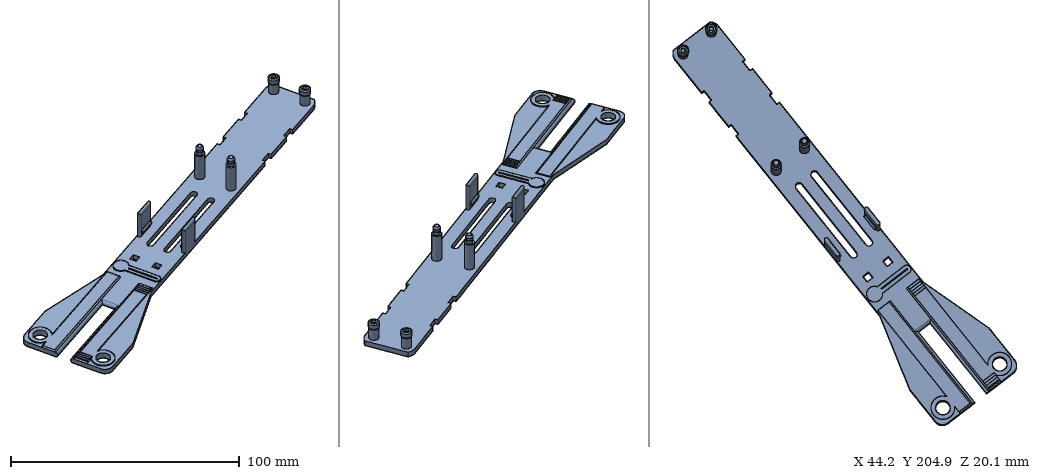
import cadquery as cq

LENGTH = 204.87
STRIP_WIDTH = 24.13
FORK_WIDTH = 44.2
PLATE_THICKNESS = 2.54
RAISE = 0.51
OVERLAP = 0.4
PLATE_TOP = PLATE_THICKNESS
PAD_TOP = PLATE_TOP + RAISE
ROOT_Z = PLATE_TOP - OVERLAP
HALF_STRIP = STRIP_WIDTH / 2
HALF_FORK = FORK_WIDTH / 2

REAR_CORNER_LENGTH = 4.1
REAR_CORNER_INSET = 1.75
REAR_CORNER_BULGE = 0.5

TAPER_START_Y = 22.0
TAPER_END_Y = 56.1
FRONT_CORNER_RADIUS = 4.0
FORK_GAP_WIDTH = 6.4
FORK_GAP_DEPTH = 39.9
NOSE_RADIUS = PLATE_THICKNESS / 2
NOSE_X = FORK_GAP_WIDTH / 2 + NOSE_RADIUS
NOSE_Y = FORK_GAP_DEPTH + NOSE_RADIUS

RAIL_LENGTH = 58.3
RAIL_OUTER_X = 11.4
RAIL_BEVEL = 0.75
MOUNT_X = 15.8
MOUNT_Y = 6.6
MOUNT_HOLE_DIAMETER = 6.35
MOUNT_BOSS_DIAMETER = 10.4
GRIP_GROOVE_WIDTH = 1.23
GRIP_GROOVE_DEPTH = 0.25
GRIP_GROOVE_COUNT = 2
GRIP_PITCH = 2 * GRIP_GROOVE_WIDTH

KEYHOLE_X = -8.05
KEYHOLE_Y = 64.9
KEYHOLE_DIAMETER = 7.0
KEYHOLE_ARM_WIDTH = 3.7
KEYHOLE_ARM_END_X = 11.6
KEYHOLE_CORNER_RADIUS = 1.6
KEYHOLE_GROOVE_START_X = -4.2
KEYHOLE_GROOVE_END_X = 10.2
KEYHOLE_GROOVE_WIDTH = 0.4
KEYHOLE_GROOVE_DEPTH = 0.25

WINDOW_SIZE = 3.1
WINDOW_X = 5.55
WINDOW_Y = 72.8
SLOT_X = 4.3
SLOT_WIDTH = 3.2
SLOT_START_Y = 83.0
SLOT_END_Y = 124.8
NOTCH_DEPTH = 1.4
NOTCH_LENGTH = 5.3
NOTCH_YS = (160.6, 179.7)

TAB_Y = 90.95
TAB_WIDTH = 9.9
TAB_THICKNESS = 1.85
TAB_TOP = 15.7
TAB_RIDGE_Z = 4.9
TAB_RIDGE_RADIUS = 0.9
TAB_RIDGE_LENGTH = 7.6

PIN_X = 7.85
PIN_Y = 134.9
PIN_DIAMETER = 4.45
PIN_NECK_DIAMETER = 2.92
PIN_HEAD_DIAMETER = 3.4
PIN_TIP_DIAMETER = 2.2
PIN_SHOULDER_Z = 15.8
PIN_HEAD_Z = 17.6
PIN_HEAD_SHOULDER_Z = 19.0
PIN_TOP = 20.07

POST_Y = 200.9
POST_DIAMETER = 4.45
POST_COLLAR_DIAMETER = 5.0
POST_COLLAR_Z = 8.0
POST_COLLAR_FULL_Z = 8.6
POST_RIM_Z = 10.6
POST_RIM_DIAMETER = 3.6
POST_TOP = 11.1
POST_BORE_DIAMETER = 2.0
POST_BORE_DEPTH = 2.0


def box_between(x0, x1, y0, y1, z0, z1):
    """Axis-aligned box given by its limits."""
    return cq.Workplane("XY").box(x1 - x0, y1 - y0, z1 - z0, centered=False).translate((x0, y0, z0))


def disc(x, y, diameter, z0, z1):
    """Vertical cylinder between two heights."""
    return cq.Workplane("XY", origin=(x, y, z0)).circle(diameter / 2).extrude(z1 - z0)


def turned(x, y, profile):
    """Vertical turned body from (radius, height) points along its outer side."""
    bottom = profile[0][1]
    top = profile[-1][1]
    outline = [(0, bottom)] + profile + [(0, top)]
    body = cq.Workplane("XZ").polyline(outline).close().revolve(360, (0, 0), (0, 1))
    return body.translate((x, y, 0))


def make_plate():
    """Flat plate: narrow strip with arc-cut rear corners, flaring to the fork."""
    corner_y = LENGTH - REAR_CORNER_LENGTH
    rear_x = HALF_STRIP - REAR_CORNER_INSET
    plate = (
        cq.Workplane("XY")
        .moveTo(-HALF_FORK, 0)
        .lineTo(HALF_FORK, 0)
        .lineTo(HALF_FORK, TAPER_START_Y)
        .lineTo(HALF_STRIP, TAPER_END_Y)
        .lineTo(HALF_STRIP, corner_y)
        .sagittaArc((rear_x, LENGTH), -REAR_CORNER_BULGE)
        .lineTo(-rear_x, LENGTH)
        .sagittaArc((-HALF_STRIP, corner_y), -REAR_CORNER_BULGE)
        .lineTo(-HALF_STRIP, TAPER_END_Y)
        .lineTo(-HALF_FORK, TAPER_START_Y)
        .close()
        .extrude(PLATE_THICKNESS)
    )
    front_corners = cq.selectors.BoxSelector(
        (-FORK_WIDTH, -FRONT_CORNER_RADIUS, 0),
        (FORK_WIDTH, FRONT_CORNER_RADIUS, PLATE_THICKNESS),
    )
    return plate.edges("|Z").edges(front_corners).fillet(FRONT_CORNER_RADIUS)


def cut_fork_gap(plate):
    """Open the gap between the fork arms and give its edges a full round."""
    gap = box_between(-NOSE_X, NOSE_X, 0, NOSE_Y, 0, PLATE_THICKNESS)
    plate = plate.cut(gap)
    for x in (-NOSE_X, NOSE_X):
        side_nose = (
            cq.Workplane("XZ", origin=(x, 0, NOSE_RADIUS)).circle(NOSE_RADIUS).extrude(-NOSE_Y)
        )
        plate = plate.union(side_nose)
    rear_nose = (
        cq.Workplane("YZ", origin=(-NOSE_X, NOSE_Y, NOSE_RADIUS))
        .circle(NOSE_RADIUS)
        .extrude(2 * NOSE_X)
    )
    return plate.union(rear_nose)


def make_rail(side):
    """Raised rail on one arm, bevelled along its inner side and front end."""
    cross_section = [
        (side * (NOSE_X + RAIL_BEVEL), ROOT_Z),
        (side * RAIL_OUTER_X, ROOT_Z),
        (side * RAIL_OUTER_X, PAD_TOP),
        (side * (NOSE_X + RAIL_BEVEL), PAD_TOP),
        (side * NOSE_X, PLATE_TOP),
    ]
    side_profile = [
        (0, ROOT_Z),
        (RAIL_LENGTH, ROOT_Z),
        (RAIL_LENGTH, PAD_TOP),
        (RAIL_BEVEL, PAD_TOP),
        (0, PLATE_TOP),
    ]
    along = cq.Workplane("XZ").polyline(cross_section).close().extrude(-RAIL_LENGTH)
    across = cq.Workplane("YZ").polyline(side_profile).close().extrude(FORK_WIDTH, both=True)
    return along.intersect(across)


def add_arm_pads(body):
    """Rails, hole bosses and mounting holes on both arms."""
    for side in (-1, 1):
        boss = disc(side * MOUNT_X, MOUNT_Y, MOUNT_BOSS_DIAMETER, ROOT_Z, PAD_TOP)
        hole = disc(side * MOUNT_X, MOUNT_Y, MOUNT_HOLE_DIAMETER, 0, PAD_TOP)
        body = body.union(make_rail(side)).union(boss).cut(hole)
    return body


def cut_grip_grooves(body):
    """Shallow cross grooves near both ends of the +X rail."""
    first_front = RAIL_BEVEL + GRIP_GROOVE_WIDTH / 2
    first_rear = RAIL_LENGTH - GRIP_PITCH
    for index in range(GRIP_GROOVE_COUNT):
        for y in (first_front + index * GRIP_PITCH, first_rear - index * GRIP_PITCH):
            groove = box_between(
                NOSE_X + RAIL_BEVEL, RAIL_OUTER_X,
                y, y + GRIP_GROOVE_WIDTH,
                PAD_TOP - GRIP_GROOVE_DEPTH, PAD_TOP,
            )
            body = body.cut(groove)
    return body


def add_keyhole_pad(body):
    """Raised disc with an arm towards +X that carries a central groove."""
    half_arm = KEYHOLE_ARM_WIDTH / 2
    arm = box_between(
        KEYHOLE_X, KEYHOLE_ARM_END_X,
        KEYHOLE_Y - half_arm, KEYHOLE_Y + half_arm,
        ROOT_Z, PAD_TOP,
    )
    arm = arm.edges("|Z and >X").fillet(KEYHOLE_CORNER_RADIUS)
    groove = box_between(
        KEYHOLE_GROOVE_START_X, KEYHOLE_GROOVE_END_X,
        KEYHOLE_Y - KEYHOLE_GROOVE_WIDTH / 2, KEYHOLE_Y + KEYHOLE_GROOVE_WIDTH / 2,
        PAD_TOP - KEYHOLE_GROOVE_DEPTH, PAD_TOP,
    )
    head = disc(KEYHOLE_X, KEYHOLE_Y, KEYHOLE_DIAMETER, ROOT_Z, PAD_TOP)
    return body.union(head.union(arm).cut(groove))


def cut_strip_openings(body):
    """Square windows, long slots and edge notches, mirrored about the centre line."""
    half_window = WINDOW_SIZE / 2
    half_notch = NOTCH_LENGTH / 2
    for side in (-1, 1):
        window_x = side * WINDOW_X
        body = body.cut(box_between(
            window_x - half_window, window_x + half_window,
            WINDOW_Y - half_window, WINDOW_Y + half_window,
            0, PLATE_THICKNESS,
        ))
        slot = (
            cq.Workplane("XY", origin=(side * SLOT_X, (SLOT_START_Y + SLOT_END_Y) / 2, 0))
            .slot2D(SLOT_END_Y - SLOT_START_Y, SLOT_WIDTH, 90)
            .extrude(PLATE_THICKNESS)
        )
        body = body.cut(slot)
        for notch_y in NOTCH_YS:
            edge_x = side * HALF_STRIP
            body = body.cut(box_between(
                edge_x - NOTCH_DEPTH, edge_x + NOTCH_DEPTH,
                notch_y - half_notch, notch_y + half_notch,
                0, PLATE_THICKNESS,
            ))
    return body


def make_tab():
    """Upright tab on the -X edge: rounded rim, with a rounded ridge on the inner face."""
    rim_radius = TAB_THICKNESS / 2
    centre_x = -HALF_STRIP + rim_radius
    inner_x = -HALF_STRIP + TAB_THICKNESS
    plan = (
        cq.Workplane("XY", origin=(centre_x, TAB_Y, 0))
        .slot2D(TAB_WIDTH, TAB_THICKNESS, 90)
        .extrude(TAB_TOP)
    )
    end_shape = (
        cq.Workplane("XZ", origin=(centre_x, TAB_Y, 0))
        .moveTo(-rim_radius, ROOT_Z)
        .lineTo(rim_radius, ROOT_Z)
        .lineTo(rim_radius, TAB_TOP - rim_radius)
        .threePointArc((0, TAB_TOP), (-rim_radius, TAB_TOP - rim_radius))
        .close()
        .extrude(TAB_WIDTH / 2, both=True)
    )
    tab = plan.intersect(end_shape)
    ridge = (
        cq.Workplane("XZ", origin=(inner_x, TAB_Y, TAB_RIDGE_Z))
        .circle(TAB_RIDGE_RADIUS)
        .extrude(TAB_RIDGE_LENGTH / 2, both=True)
    )
    return tab.union(ridge)


def make_pin(x):
    """Tall pin with a necked head."""
    return turned(x, PIN_Y, [
        (PIN_DIAMETER / 2, ROOT_Z),
        (PIN_DIAMETER / 2, PIN_SHOULDER_Z),
        (PIN_NECK_DIAMETER / 2, PIN_SHOULDER_Z),
        (PIN_NECK_DIAMETER / 2, PIN_HEAD_Z),
        (PIN_HEAD_DIAMETER / 2, PIN_HEAD_Z),
        (PIN_HEAD_DIAMETER / 2, PIN_HEAD_SHOULDER_Z),
        (PIN_TIP_DIAMETER / 2, PIN_TOP),
    ])


def make_post(x):
    """Short rear post with a wider, bevelled collar and a blind bore."""
    post = turned(x, POST_Y, [
        (POST_DIAMETER / 2, ROOT_Z),
        (POST_DIAMETER / 2, POST_COLLAR_Z),
        (POST_COLLAR_DIAMETER / 2, POST_COLLAR_FULL_Z),
        (POST_COLLAR_DIAMETER / 2, POST_RIM_Z),
        (POST_RIM_DIAMETER / 2, POST_TOP),
    ])
    return post.cut(disc(x, POST_Y, POST_BORE_DIAMETER, POST_TOP - POST_BORE_DEPTH, POST_TOP))


def add_uprights(body):
    """Tabs, pins and posts on both sides."""
    tab = make_tab()
    body = body.union(tab).union(tab.mirror("YZ"))
    for x in (-PIN_X, PIN_X):
        body = body.union(make_pin(x)).union(make_post(x))
    return body


result = cut_fork_gap(make_plate())
result = add_arm_pads(result)
result = cut_grip_grooves(result)
result = add_keyhole_pad(result)
result = cut_strip_openings(result)
result = add_uprights(result)